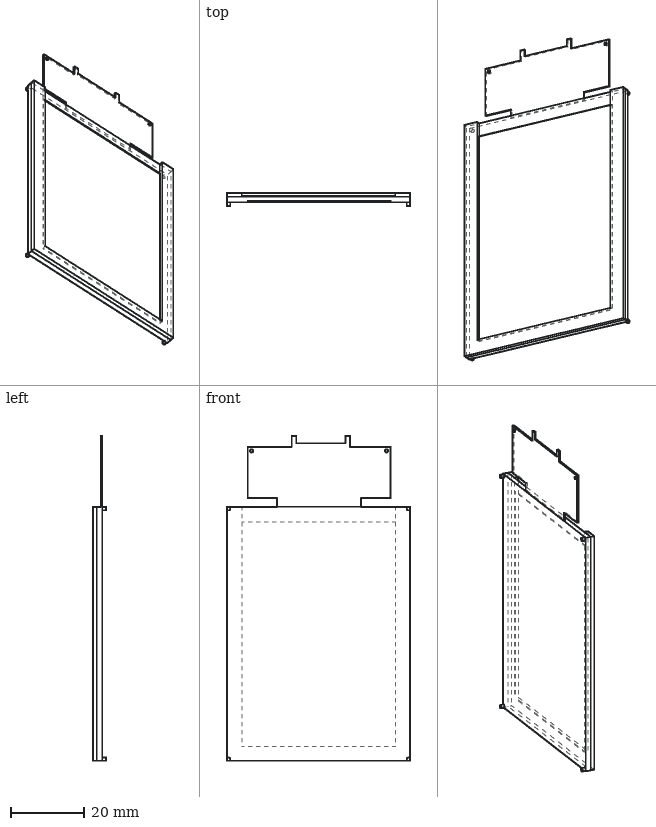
import cadquery as cq

MODULE_WIDTH = 50.0
MODULE_HEIGHT = 69.3
TOTAL_HEIGHT = 88.7
TOTAL_THICKNESS = 3.6

BASE_THICKNESS = 1.5
FRAME_THICKNESS = 1.1
FRAME_BORDER = 4.0
FILM_THICKNESS = 0.25
WINDOW_WIDTH = MODULE_WIDTH - 2 * FRAME_BORDER

PEG_DIAMETER = 0.96
PEG_INSET = PEG_DIAMETER / 2

FLEX_THICKNESS = 0.5
FLEX_CENTER_X = 0.15
FLEX_WIDTH = 39.0
NECK_WIDTH = 23.0
NECK_HEIGHT = 2.4
SHOULDER_DROP = 3.0
TONGUE_CENTER_X = 0.65
TONGUE_WIDTH = 16.0
TONGUE_DROP = 2.0
TAB_WIDTH = 1.3
HOLE_DIAMETER = 0.8
HOLE_INSET = 1.1


def slab(width, thickness, height, center_x=0.0, front_y=0.0, bottom_z=0.0):
    """Upright plate centred on center_x, with its front face at front_y and its foot at bottom_z."""
    return (
        cq.Workplane("XY")
        .box(width, thickness, height, centered=(True, False, False))
        .translate((center_x, front_y, bottom_z))
    )


def disc(diameter, length, x, back_y, z):
    """Cylinder along Y that runs from back_y toward -Y."""
    return cq.Workplane("XZ", origin=(x, back_y, z)).circle(diameter / 2).extrude(length)


def make_base():
    """Solid plate with a locating peg at each corner of its front face."""
    base = slab(MODULE_WIDTH, BASE_THICKNESS, MODULE_HEIGHT)
    peg_length = TOTAL_THICKNESS - BASE_THICKNESS - FRAME_THICKNESS
    peg_x = MODULE_WIDTH / 2 - PEG_INSET
    for x in (-peg_x, peg_x):
        for z in (PEG_INSET, MODULE_HEIGHT - PEG_INSET):
            base = base.union(disc(PEG_DIAMETER, peg_length, x, 0, z))
    return base


def make_frame():
    """U-shaped frame behind the base, open at the top."""
    frame = slab(MODULE_WIDTH, FRAME_THICKNESS, MODULE_HEIGHT, front_y=BASE_THICKNESS)
    window = slab(
        WINDOW_WIDTH,
        FRAME_THICKNESS,
        MODULE_HEIGHT - FRAME_BORDER,
        front_y=BASE_THICKNESS,
        bottom_z=FRAME_BORDER,
    )
    return frame.cut(window)


def make_film():
    """Thin film on the back of the base, between the legs of the frame."""
    return slab(
        WINDOW_WIDTH,
        FILM_THICKNESS,
        MODULE_HEIGHT - 2 * FRAME_BORDER,
        front_y=BASE_THICKNESS,
        bottom_z=FRAME_BORDER,
    )


def make_flex():
    """Flat outline with a neck below, a notched tongue on top and a hole in each upper corner."""
    neck_top = MODULE_HEIGHT + NECK_HEIGHT
    shoulder_z = TOTAL_HEIGHT - SHOULDER_DROP

    def panel(width, bottom_z, top_z, center_x):
        return slab(width, FLEX_THICKNESS, top_z - bottom_z, center_x, bottom_z=bottom_z)

    flex = panel(FLEX_WIDTH, neck_top, shoulder_z, FLEX_CENTER_X)
    flex = flex.union(panel(NECK_WIDTH, MODULE_HEIGHT, neck_top, FLEX_CENTER_X))
    flex = flex.union(panel(TONGUE_WIDTH, shoulder_z, TOTAL_HEIGHT, TONGUE_CENTER_X))
    notch_width = TONGUE_WIDTH - 2 * TAB_WIDTH
    flex = flex.cut(panel(notch_width, TOTAL_HEIGHT - TONGUE_DROP, TOTAL_HEIGHT, TONGUE_CENTER_X))

    hole_offset = FLEX_WIDTH / 2 - HOLE_INSET
    for x in (FLEX_CENTER_X - hole_offset, FLEX_CENTER_X + hole_offset):
        flex = flex.cut(disc(HOLE_DIAMETER, FLEX_THICKNESS, x, FLEX_THICKNESS, shoulder_z - HOLE_INSET))
    return flex


base = make_base()
frame = make_frame()
film = make_film()
flex = make_flex()

result = cq.Compound.makeCompound([base.val(), frame.val(), film.val(), flex.val()])